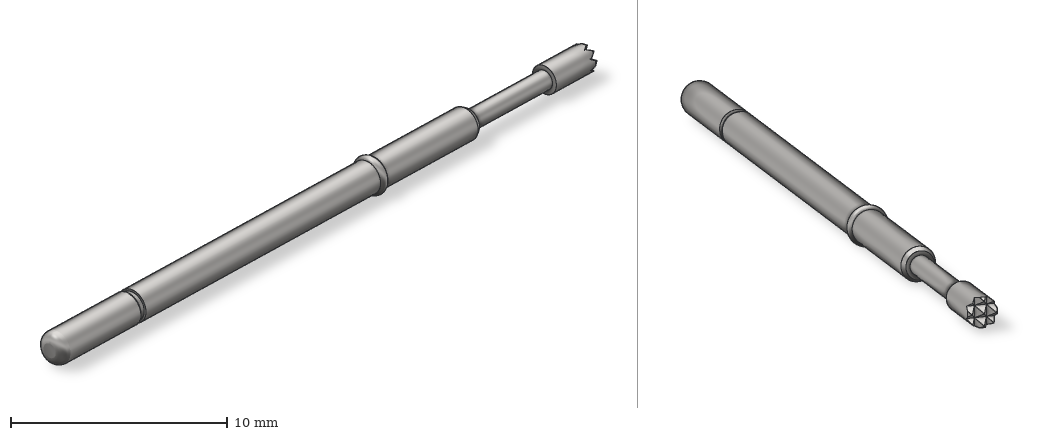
import cadquery as cq
import math

LENGTH = 37.3
TIP_Y = LENGTH / 2
TAIL_Y = -LENGTH / 2

HEAD_DIAMETER = 1.5
HEAD_LENGTH = 3.0
SHAFT_DIAMETER = 1.0

BARREL_DIAMETER = 1.7
BARREL_LENGTH = 29.02
TAIL_FILLET = 0.5
MOUTH_DIAMETER = 1.4
MOUTH_LENGTH = 0.25

RING_DIAMETER = 2.0
RING_WIDTH = 0.5
RING_FROM_TIP = 15.07

GROOVE_DEPTH = 0.1
GROOVE_FLOOR_WIDTH = 0.25
GROOVE_SLOPE_LENGTH = 0.07
GROOVE_FRONT_FROM_TAIL = 5.7

TOOTH_PITCH = 0.6
TOOTH_DEPTH = 0.52
GROOVES_PER_SET = 4

BARREL_RADIUS = BARREL_DIAMETER / 2
BARREL_FRONT_Y = TAIL_Y + BARREL_LENGTH
RING_Y = TIP_Y - RING_FROM_TIP
GROOVE_FRONT_Y = TAIL_Y + GROOVE_FRONT_FROM_TAIL
GROOVE_FLOOR_Y = GROOVE_FRONT_Y - GROOVE_FLOOR_WIDTH
HEAD_REAR_Y = TIP_Y - HEAD_LENGTH

RADIUS_BY_LENGTH = cq.Plane(origin=(0, 0, 0), xDir=(0, 0, 1), normal=(-1, 0, 0))


def make_barrel():
    """Revolve the barrel's half profile about the Y axis."""
    fillet_center = (BARREL_RADIUS - TAIL_FILLET, TAIL_Y + TAIL_FILLET)
    fillet_middle = (
        fillet_center[0] + TAIL_FILLET * math.cos(math.pi / 4),
        fillet_center[1] - TAIL_FILLET * math.sin(math.pi / 4),
    )
    groove_radius = BARREL_RADIUS - GROOVE_DEPTH
    profile = (
        cq.Workplane(RADIUS_BY_LENGTH)
        .moveTo(0, TAIL_Y)
        .lineTo(fillet_center[0], TAIL_Y)
        .threePointArc(fillet_middle, (BARREL_RADIUS, fillet_center[1]))
        .lineTo(BARREL_RADIUS, GROOVE_FLOOR_Y - GROOVE_SLOPE_LENGTH)
        .lineTo(groove_radius, GROOVE_FLOOR_Y)
        .lineTo(groove_radius, GROOVE_FRONT_Y)
        .lineTo(BARREL_RADIUS, GROOVE_FRONT_Y)
        .lineTo(BARREL_RADIUS, RING_Y - RING_WIDTH / 2)
        .threePointArc((RING_DIAMETER / 2, RING_Y), (BARREL_RADIUS, RING_Y + RING_WIDTH / 2))
        .lineTo(BARREL_RADIUS, BARREL_FRONT_Y - MOUTH_LENGTH)
        .lineTo(MOUTH_DIAMETER / 2, BARREL_FRONT_Y)
        .lineTo(0, BARREL_FRONT_Y)
        .close()
    )
    return profile.revolve(360, (0, 0, 0), (0, 1, 0))


def make_rod(diameter, rear_y, front_y):
    """Round rod along Y between two stations."""
    rear_face = cq.Workplane("XZ", origin=(0, rear_y, 0))
    return rear_face.circle(diameter / 2).extrude(rear_y - front_y)


def make_plunger():
    """Thin shaft reaching out of the barrel into a wider plain head."""
    shaft = make_rod(SHAFT_DIAMETER, BARREL_FRONT_Y, HEAD_REAR_Y)
    head = make_rod(HEAD_DIAMETER, HEAD_REAR_Y, TIP_Y)
    return shaft.union(head)


def make_tooth_cutter():
    """Row of V-grooves running along Z, with sharp crests at the tip plane between them."""
    first_x = -TOOTH_PITCH * (GROOVES_PER_SET - 1) / 2
    grooves = cq.Workplane("XY")
    for index in range(GROOVES_PER_SET):
        x = first_x + index * TOOTH_PITCH
        grooves = (
            grooves.moveTo(x - TOOTH_PITCH / 2, TIP_Y)
            .lineTo(x, TIP_Y - TOOTH_DEPTH)
            .lineTo(x + TOOTH_PITCH / 2, TIP_Y)
            .close()
        )
    return grooves.extrude(HEAD_DIAMETER, both=True)


teeth = make_tooth_cutter()
crossed_teeth = teeth.rotate((0, 0, 0), (0, 1, 0), 90)
plunger = make_plunger().cut(teeth).cut(crossed_teeth)
result = make_barrel().union(plunger)